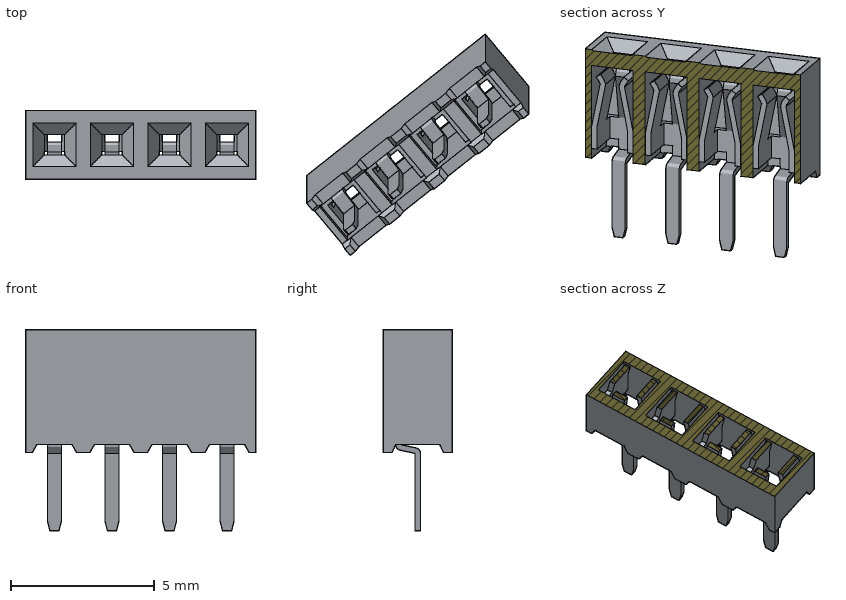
import cadquery as cq
import math

length = 8.0
depth = 2.4
total_height = 7.0
cell_count = 4
pitch = length / cell_count

housing_height = 4.28
foot_height = 0.28
cell_notch_top = 1.22
cell_notch_bottom = 1.54
long_notch_top = 1.52
long_notch_bottom = 1.79

socket_mouth = 1.5
passage_width = 0.7
funnel_depth = 0.4
passage_length = 0.2
cavity_half = 0.77
cavity_top = housing_height - funnel_depth - passage_length

sheet = 0.2
tail_width = 0.5
tail_tip_width = 0.32
tail_tip_length = 0.35
tail_bottom = housing_height - total_height
bend_height = -0.02
arm_angle = math.radians(12)

base_bottom = 0.64
base_top = 1.44
base_inner = cavity_half - sheet
side_end = 0.71
side_leaf_start = -0.24

leaf_gap_half = 0.25
leaf_gap_height = 3.06
flare_start_half = 0.3
flare_start_height = 3.21
flare_end_half = 0.43
flare_end_height = 3.4

cell_centers = [(i - (cell_count - 1) / 2) * pitch for i in range(cell_count)]


def notch(plane, top_width, bottom_width, run):
    """Trapezoidal channel under the housing, centred on the plane's origin."""
    outline = [
        (-bottom_width / 2, 0),
        (bottom_width / 2, 0),
        (top_width / 2, foot_height),
        (-top_width / 2, foot_height),
    ]
    return cq.Workplane(plane).polyline(outline).close().extrude(run / 2, both=True)


def socket():
    """Funnel, passage and contact cavity of one cell."""
    funnel = (
        cq.Workplane("XY", origin=(0, 0, housing_height))
        .rect(socket_mouth, socket_mouth)
        .workplane(offset=-funnel_depth)
        .rect(passage_width, passage_width)
        .loft(ruled=True)
    )
    passage = (
        cq.Workplane("XY", origin=(0, 0, cavity_top))
        .rect(passage_width, passage_width)
        .extrude(passage_length)
    )
    cavity = cq.Workplane("XY").rect(2 * cavity_half, 2 * cavity_half).extrude(cavity_top)
    return funnel.union(passage).union(cavity)


def make_housing():
    body = cq.Workplane("XY").box(length, depth, housing_height, centered=(True, True, False))
    body = body.cut(notch("YZ", long_notch_top, long_notch_bottom, length))
    cell_notch = notch("XZ", cell_notch_top, cell_notch_bottom, depth)
    cell_socket = socket()
    for x in cell_centers:
        body = body.cut(cell_notch.translate((x, 0, 0)))
        body = body.cut(cell_socket.translate((x, 0, 0)))
    return body


def sheet_outline(inner):
    """Closed outline of a bent sheet whose inner side follows the given points upwards."""
    angles = [math.atan2(b[1] - a[1], b[0] - a[0]) for a, b in zip(inner, inner[1:])]
    before = angles[:1] + angles
    after = angles + angles[-1:]
    outer = []
    for (x, z), a, b in zip(inner, before, after):
        normal = (a + b) / 2 - math.pi / 2
        reach = sheet / math.cos((b - a) / 2)
        outer.append((x + reach * math.cos(normal), z + reach * math.sin(normal)))
    return inner + outer[::-1]


def leaf(start_y, end_y):
    """Spring leaf on the +X side, spanning start_y to end_y, with its lower end in the base."""
    inner = [
        (base_inner, base_bottom),
        (base_inner, base_top),
        (leaf_gap_half, leaf_gap_height),
        (flare_start_half, flare_start_height),
        (flare_end_half, flare_end_height),
    ]
    return (
        cq.Workplane("XZ", origin=(0, start_y, 0))
        .polyline(sheet_outline(inner))
        .close()
        .extrude(start_y - end_y)
    )


def contact_base():
    """U-shaped wall, open towards +Y, that lines the cavity."""
    height = base_top - base_bottom
    run = side_end + cavity_half
    outside = (
        cq.Workplane("XY", origin=(0, side_end - run / 2, base_bottom))
        .rect(2 * cavity_half, run)
        .extrude(height)
    )
    inside = (
        cq.Workplane("XY", origin=(0, side_end - run / 2 + sheet, base_bottom))
        .rect(2 * base_inner, run)
        .extrude(height)
    )
    return outside.cut(inside)


def tail():
    """Tapered pin, bent into a sloping arm and up again to the -Y wall of the base."""
    half = sheet / 2
    lower_bend = (-half, bend_height)
    arm_top_y = lower_bend[0] + sheet * math.sin(arm_angle)
    arm_top_z = bend_height + sheet * math.cos(arm_angle)
    upper_bend = (-base_inner, arm_top_z + (arm_top_y + base_inner) * math.tan(arm_angle))

    def on_bend(center, angle):
        return (center[0] + sheet * math.cos(angle), center[1] + sheet * math.sin(angle))

    arc_end = math.pi / 2 - arm_angle
    strip = (
        cq.Workplane("YZ")
        .moveTo(-half, tail_bottom)
        .lineTo(half, tail_bottom)
        .lineTo(half, bend_height)
        .threePointArc(on_bend(lower_bend, arc_end / 2), on_bend(lower_bend, arc_end))
        .lineTo(*upper_bend)
        .lineTo(-base_inner, base_top)
        .lineTo(-cavity_half, base_top)
        .lineTo(-cavity_half, upper_bend[1])
        .threePointArc(
            on_bend(upper_bend, math.pi + arc_end / 2), on_bend(upper_bend, math.pi + arc_end)
        )
        .lineTo(*lower_bend)
        .close()
        .extrude(tail_width / 2, both=True)
    )
    tip_top = tail_bottom + tail_tip_length
    front_outline = [
        (-tail_tip_width / 2, tail_bottom),
        (tail_tip_width / 2, tail_bottom),
        (tail_width / 2, tip_top),
        (tail_width / 2, base_top),
        (-tail_width / 2, base_top),
        (-tail_width / 2, tip_top),
    ]
    taper = cq.Workplane("XZ").polyline(front_outline).close().extrude(depth / 2, both=True)
    return strip.intersect(taper)


def make_contact():
    side_leaf = leaf(side_leaf_start, side_end)
    rear_leaf = leaf(-tail_width / 2, tail_width / 2).rotate((0, 0, 0), (0, 0, 1), -90)
    return (
        contact_base()
        .union(side_leaf)
        .union(side_leaf.mirror("YZ"))
        .union(rear_leaf)
        .union(tail())
    )


housing = make_housing()
contact = make_contact()
contacts = [contact.translate((x, 0, 0)).val() for x in cell_centers]

result = cq.Compound.makeCompound([housing.val(), *contacts])